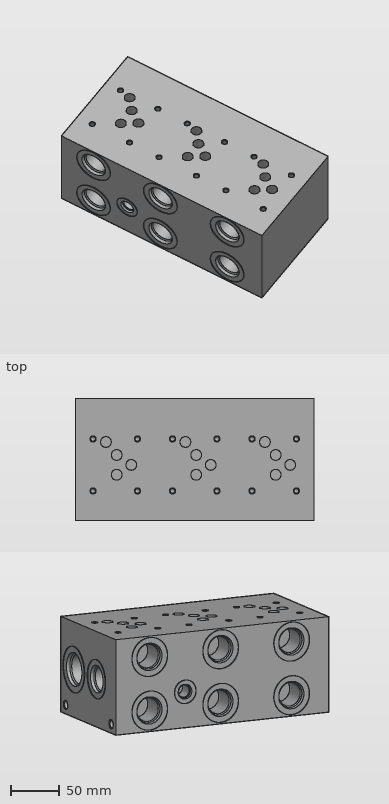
import cadquery as cq
import math

length = 247.6
width = 127.0
height = 101.5

spotface_depth = 0.7
seat_angle = 12.0

large_port = dict(spotface=49.0, mouth=35.5, seat_depth=3.5, bore=31.0, depth=34.7)
medium_port = dict(spotface=41.4, mouth=29.0, seat_depth=3.5, bore=25.0, depth=29.7)
gauge_port = dict(spotface=25.0, mouth=15.5, seat_depth=2.5, bore=13.0, depth=19.8)

station_count = 3
station_pitch = 82.5
first_station_x = 18.3
lower_bolt_y = 31.0

bolt_span_x = 46.0
bolt_span_y = 54.0
work_hole_x = 24.5
work_hole_spread = 20.5
pressure_hole_x = 39.6
tank_hole_x = 13.4
tank_hole_from_upper_bolt = 3.2
valve_hole_diameter = 11.1
valve_hole_depth = 29.7

drill_point_angle = 118.0
valve_bolt = dict(mouth=6.5, bore=5.0, depth=19.8)
end_bolt = dict(mouth=9.7, bore=8.0, depth=19.8)

port_from_bolt_x = 21.3
lower_port_z = 22.3
upper_port_z = height - lower_port_z
gauge_x = 81.0
gauge_z = 38.1

tank_port_y = 97.3
pressure_port_y = 45.3
end_bolt_inset = 11.1
end_bolt_z = 9.7


def revolved_cutter(profile):
    """Turn (radius, depth) points into a solid about Z, sunk below Z = 0."""
    points = [(radius, -depth) for radius, depth in profile]
    return cq.Workplane("XZ").polyline(points).close().revolve(360, (0, 0), (0, 1))


def port_cutter(port):
    """Spotface, tapered seal seat, then a flat-bottomed bore."""
    spotface_radius = port["spotface"] / 2
    mouth_radius = port["mouth"] / 2
    bore_radius = port["bore"] / 2
    seat_end = spotface_depth + port["seat_depth"]
    seat_end_radius = mouth_radius - port["seat_depth"] * math.tan(math.radians(seat_angle))
    return revolved_cutter([
        (0, 0),
        (spotface_radius, 0),
        (spotface_radius, spotface_depth),
        (mouth_radius, spotface_depth),
        (seat_end_radius, seat_end),
        (bore_radius, seat_end + seat_end_radius - bore_radius),
        (bore_radius, port["depth"]),
        (0, port["depth"]),
    ])


def tapped_hole_cutter(hole):
    """45-degree countersink, bore and conical drill point."""
    mouth_radius = hole["mouth"] / 2
    bore_radius = hole["bore"] / 2
    point_length = bore_radius / math.tan(math.radians(drill_point_angle / 2))
    return revolved_cutter([
        (0, 0),
        (mouth_radius, 0),
        (bore_radius, mouth_radius - bore_radius),
        (bore_radius, hole["depth"]),
        (0, hole["depth"] + point_length),
    ])


def on_top(cutter, x, y):
    return cutter.translate((x, y, height))


def on_front(cutter, x, z):
    return cutter.rotate((0, 0, 0), (1, 0, 0), 90).translate((x, 0, z))


def on_left_end(cutter, y, z):
    return cutter.rotate((0, 0, 0), (0, 1, 0), -90).translate((0, y, z))


def station_cutters(bolt_x):
    """Bolt holes, valve holes and front ports of one valve station."""
    upper_bolt_y = lower_bolt_y + bolt_span_y
    centre_y = lower_bolt_y + bolt_span_y / 2
    bolt_hole = tapped_hole_cutter(valve_bolt)
    valve_hole = cq.Workplane("XY").circle(valve_hole_diameter / 2).extrude(-valve_hole_depth)
    work_port = port_cutter(medium_port)
    cutters = []
    for x in (bolt_x, bolt_x + bolt_span_x):
        for y in (lower_bolt_y, upper_bolt_y):
            cutters.append(on_top(bolt_hole, x, y))
    for x, y in (
        (work_hole_x, centre_y - work_hole_spread / 2),
        (work_hole_x, centre_y + work_hole_spread / 2),
        (pressure_hole_x, centre_y),
        (tank_hole_x, upper_bolt_y - tank_hole_from_upper_bolt),
    ):
        cutters.append(on_top(valve_hole, bolt_x + x, y))
    for z in (lower_port_z, upper_port_z):
        cutters.append(on_front(work_port, bolt_x + port_from_bolt_x, z))
    return cutters


def left_end_cutters():
    """Tank port, pressure port and the two lower mounting holes."""
    mounting_hole = tapped_hole_cutter(end_bolt)
    return [
        on_left_end(port_cutter(large_port), tank_port_y, height / 2),
        on_left_end(port_cutter(medium_port), pressure_port_y, height / 2),
        on_left_end(mounting_hole, end_bolt_inset, end_bolt_z),
        on_left_end(mounting_hole, width - end_bolt_inset, end_bolt_z),
    ]


cutters = left_end_cutters()
cutters.append(on_front(port_cutter(gauge_port), gauge_x, gauge_z))
for station in range(station_count):
    cutters += station_cutters(first_station_x + station * station_pitch)

result = cq.Workplane("XY").box(length, width, height, centered=False)
for cutter in cutters:
    result = result.cut(cutter)